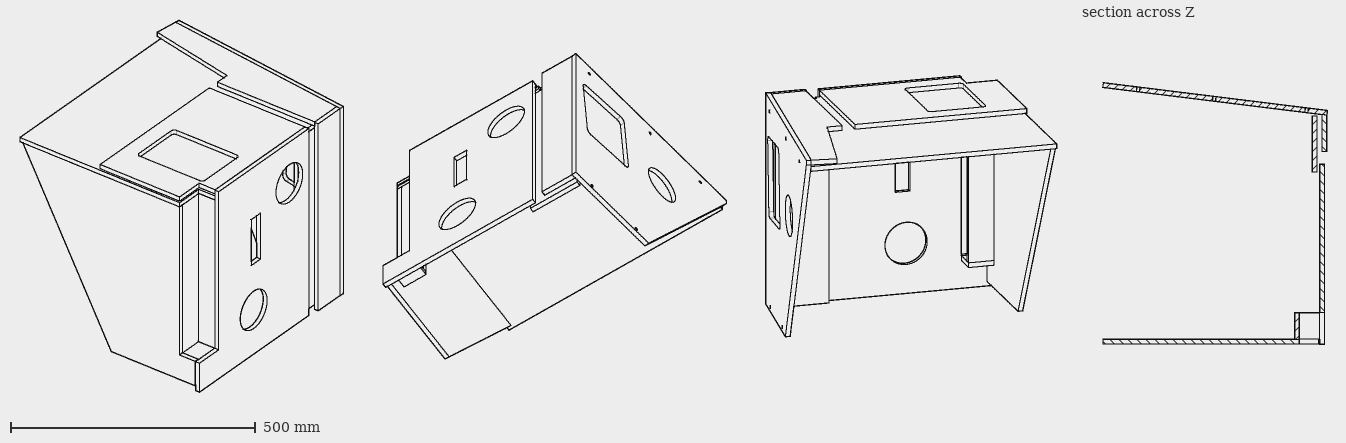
import cadquery as cq
import math


board = 10.0
height = 452.5
raise_gap = 4.0
divide_x = 206.5

back_corner_x = 0.5
back_corner_y = 536.0
back_x_right = 468.5
back_drop = 58.0
foot_x = 241.0

outer_wall_x = 452.0
outer_wall_overhang = 0.5
outer_wall_back_y = 368.0
inner_wall_x = 436.5
inner_wall_front_y = 352.0
inner_wall_back_y = 466.5
rear_wall_front_y = 393.5

recess_x = 411.0
recess_depth_y = 64.5
recess_floor_z = 70.5

cover_z = height - board
table_top_z = cover_z - raise_gap
table_z = table_top_z - board
back_slope = back_drop / (back_x_right - back_corner_x)
back_angle = math.atan(back_slope)
board_along_y = board / math.cos(back_angle)
end_shift_x = board * math.sin(back_angle)
back_left_x = back_corner_x - end_shift_x
wall_x_right = back_x_right - end_shift_x
rear_wall_x = wall_x_right - board


def back_inner_y(x):
    """Y of the inner face of the back board at this X."""
    return back_corner_y - back_slope * (x - back_corner_x) - board_along_y


def slant_x(z):
    """X of the slanted left edges of the front and back boards at height z."""
    return foot_x * (1 - z / cover_z)


def along_back(x):
    """Distance along the back board of the point with this X."""
    return x / math.cos(back_angle)


def box(x0, x1, y0, y1, z0, z1):
    return cq.Workplane("XY").box(x1 - x0, y1 - y0, z1 - z0, centered=False).translate((x0, y0, z0))


def plate(points, z, thickness=board):
    """Extrude an X-Y outline upwards from height z."""
    return cq.Workplane("XY").workplane(offset=z).polyline(points).close().extrude(thickness)


table_step_x = 446.5
table_step_y = 376.0


def make_table_top():
    return plate(
        [
            (0, 0),
            (recess_x, 0),
            (recess_x, recess_depth_y),
            (outer_wall_x, recess_depth_y),
            (outer_wall_x, table_step_y),
            (table_step_x, table_step_y),
            (table_step_x, back_inner_y(table_step_x)),
            (0, back_inner_y(0)),
        ],
        table_z,
    )


window_x = (244.0, 413.5)
window_y = (74.5, 198.5)
window_radius = 8.0
cover_recess_y = recess_depth_y + 1.5


def make_cover():
    cover = plate(
        [
            (divide_x, 0),
            (recess_x, 0),
            (recess_x, cover_recess_y),
            (outer_wall_x, cover_recess_y),
            (outer_wall_x, outer_wall_back_y),
            (divide_x, outer_wall_back_y),
        ],
        cover_z,
    )
    window = box(*window_x, *window_y, cover_z, height).edges("|Z").fillet(window_radius)
    return cover.cut(window)


shelf_depth = 53.5
shelf_step_y = 427.5
shelf_front_y = 395.5


def make_rear_shelf():
    back_left = (back_left_x, back_inner_y(back_left_x))
    front_left = (
        back_left[0] - shelf_depth * math.sin(back_angle),
        back_left[1] - shelf_depth * math.cos(back_angle),
    )
    return plate(
        [
            back_left,
            front_left,
            (divide_x, shelf_step_y),
            (divide_x, shelf_front_y),
            (rear_wall_x, shelf_front_y),
            (rear_wall_x, back_inner_y(rear_wall_x)),
        ],
        cover_z,
    )


front_foot_z = 10.5
front_right_x = 450.5


def make_front_board():
    outline = [
        (slant_x(table_z), table_z),
        (slant_x(front_foot_z), front_foot_z),
        (front_right_x, front_foot_z),
        (front_right_x, recess_floor_z),
        (recess_x, recess_floor_z),
        (recess_x, table_z),
    ]
    return cq.Workplane("XZ").polyline(outline).close().extrude(-board)


port_diameter = 85.0
port_x = 199.5
port_z = 272.0
slot_x = 374.0
slot_z = 288.5
slot_width = 129.0
slot_height = 170.5
slot_tilt = 5.0
slot_radius = 10.5
pilot_diameter = 6.0
upper_pilot_z = 426.0
lower_pilot_z = 9.0
upper_pilot_x = (80.5, 236.0, 425.0)
lower_pilot_x = (279.0, 416.0)


def back_face(x, z):
    """Workplane on the inner face of the back board, with its normal pointing forward."""
    return cq.Workplane(
        cq.Plane(
            origin=(x, back_inner_y(x), z),
            xDir=(1, -back_slope, 0),
            normal=(-back_slope, -1, 0),
        )
    )


def make_back_board():
    back = (
        back_face(0, 0)
        .polyline(
            [
                (along_back(foot_x), 0),
                (along_back(wall_x_right), 0),
                (along_back(wall_x_right), height),
                (along_back(back_left_x), height),
                (along_back(back_left_x), cover_z),
            ]
        )
        .close()
        .extrude(-board)
    )
    port = back_face(port_x, port_z).circle(port_diameter / 2).extrude(-board)
    slot = (
        back_face(slot_x, slot_z)
        .transformed(rotate=(0, 0, -slot_tilt))
        .rect(slot_width, slot_height)
        .extrude(-board)
        .edges(cq.selectors.ParallelDirSelector(cq.Vector(back_slope, 1, 0)))
        .fillet(slot_radius)
    )
    back = back.cut(port).cut(slot)
    for row_z, row_x in ((upper_pilot_z, upper_pilot_x), (lower_pilot_z, lower_pilot_x)):
        for x in row_x:
            back = back.cut(back_face(x, row_z).circle(pilot_diameter / 2).extrude(-board))
    return back


wall_port_diameter = 90.0
wall_ports = ((302.5, 353.0), (182.5, 107.5))
handle_y = (174.5, 205.5)
handle_z = (219.0, 330.0)


def make_outer_wall():
    x_range = (outer_wall_x, outer_wall_x + board)
    wall = box(*x_range, -outer_wall_overhang, outer_wall_back_y, 0, height)
    wall = wall.cut(box(*x_range, -outer_wall_overhang, recess_depth_y, recess_floor_z, height))
    wall = wall.cut(box(*x_range, *handle_y, *handle_z))
    for y, z in wall_ports:
        port = cq.Workplane("YZ", origin=(outer_wall_x, y, z)).circle(wall_port_diameter / 2).extrude(board)
        wall = wall.cut(port)
    return wall


def make_inner_wall():
    return box(inner_wall_x, inner_wall_x + board, inner_wall_front_y, inner_wall_back_y, 0, table_z)


def make_rear_wall():
    return plate(
        [
            (rear_wall_x, rear_wall_front_y),
            (wall_x_right, rear_wall_front_y),
            (wall_x_right, back_inner_y(wall_x_right)),
            (rear_wall_x, back_inner_y(rear_wall_x)),
        ],
        0,
        height,
    )


def make_recess_side():
    return box(recess_x - board, recess_x, board, recess_depth_y, recess_floor_z, table_z)


def make_recess_floor():
    return box(recess_x - board, outer_wall_x, board, recess_depth_y, recess_floor_z - board, recess_floor_z)


bodies = [
    make_table_top(),
    make_cover(),
    make_rear_shelf(),
    make_front_board(),
    make_back_board(),
    make_outer_wall(),
    make_inner_wall(),
    make_rear_wall(),
    make_recess_side(),
    make_recess_floor(),
]
result = cq.Compound.makeCompound([body.val() for body in bodies])